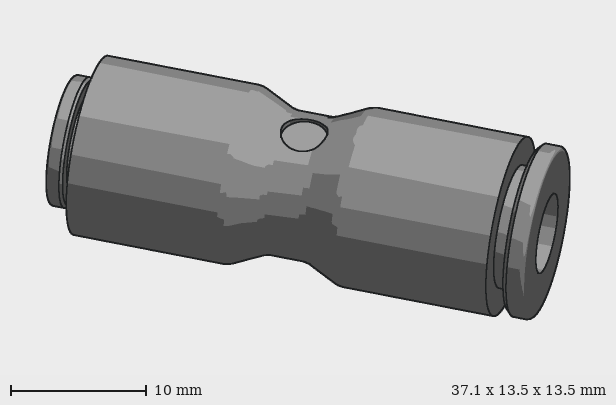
import cadquery as cq

total_length = 37.05
body_start = 2.1
body_end = 34.27
body_radius = 6.75
body_center = (body_start + body_end) / 2
waist_radius = 5.45
waist_half_length = 1.55
waist_cone_length = 2.75
waist_blend_radius = 1.2

small_collar_length = 1.25
small_collar_radius = 4.93
small_neck_radius = 3.6
small_edge_break = 0.22
large_collar_length = 1.63
large_collar_radius = 6.52
large_neck_radius = 4.63
large_edge_break = 0.35

bore_radius = 3.0
recess_x = 18.45
recess_radius = 1.75
recess_floor_z = 4.93


def cylinder_x(start, end, radius):
    """Solid cylinder centred on the X axis."""
    return cq.Workplane("YZ", origin=(start, 0, 0)).circle(radius).extrude(end - start)


def make_body():
    waist_start = body_center - waist_half_length
    waist_end = body_center + waist_half_length
    cone_start = waist_start - waist_cone_length
    cone_end = waist_end + waist_cone_length
    profile = [
        (body_start, 0),
        (body_start, body_radius),
        (cone_start, body_radius),
        (waist_start, waist_radius),
        (waist_end, waist_radius),
        (cone_end, body_radius),
        (body_end, body_radius),
        (body_end, 0),
    ]
    body = cq.Workplane("XY").polyline(profile).close().revolve(360, (0, 0, 0), (1, 0, 0))
    blend_edges = cq.selectors.BoxSelector(
        (cone_start - 0.37, -2 * body_radius, -2 * body_radius),
        (cone_end + 0.37, 2 * body_radius, 2 * body_radius),
    )
    return body.edges("%CIRCLE").edges(blend_edges).fillet(waist_blend_radius)


def make_collar(start, length, radius, edge_break, outer_face, inner_face):
    """Collar disc, rounded at its outer face and chamfered at its inner face."""
    collar = cylinder_x(start, start + length, radius)
    collar = collar.faces(outer_face).edges().fillet(edge_break)
    return collar.faces(inner_face).edges().chamfer(edge_break)


small_collar = make_collar(
    0, small_collar_length, small_collar_radius, small_edge_break, "<X", ">X"
)
large_collar_start = total_length - large_collar_length
large_collar = make_collar(
    large_collar_start, large_collar_length, large_collar_radius, large_edge_break, ">X", "<X"
)
small_neck = cylinder_x(small_collar_length, body_start, small_neck_radius)
large_neck = cylinder_x(body_end, large_collar_start, large_neck_radius)
bore = cylinder_x(0, total_length, bore_radius)
recess = (
    cq.Workplane("XY", origin=(recess_x, 0, recess_floor_z))
    .circle(recess_radius)
    .extrude(body_radius - recess_floor_z)
)

result = make_body()
for piece in (small_neck, small_collar, large_neck, large_collar):
    result = result.union(piece)
result = result.cut(bore).cut(recess)